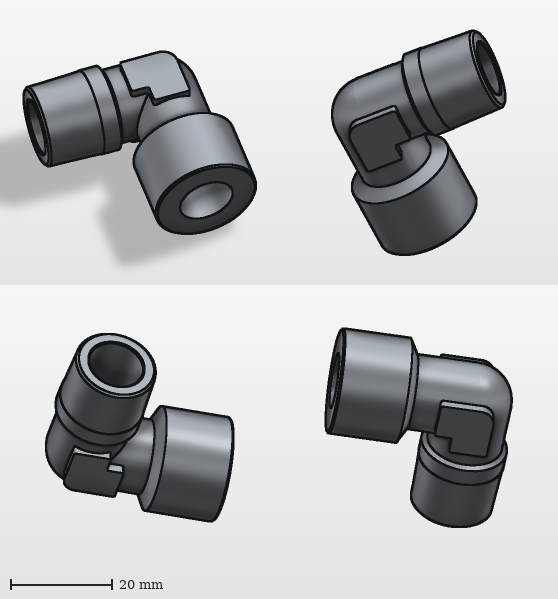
import math

import cadquery as cq

body_radius = 15.0 / 2
bore_radius = 11.0 / 2
shoulder_angle = 30.0

male_length = 26.0
collar_radius = 17.2 / 2
collar_start = 11.1
collar_end = 14.6
thread_root_radius = 8.52
thread_taper = 1.0 / 16
tip_chamfer = 0.5
bore_chamfer = 0.25

female_length = 28.0
socket_radius = 21.0 / 2
shoulder_start = 12.5
rim_chamfer = 0.35

pad_half_width = body_radius / 2
pad_reach = 7.25
pad_height = 8.45
pad_outer_fillet = 3.0
pad_corner_fillet = 0.5


def shoulder_length(outer_radius):
    """Axial length of the cone that widens the body to outer_radius."""
    return (outer_radius - body_radius) * math.tan(math.radians(shoulder_angle))


def make_male_arm():
    thread_tip_radius = thread_root_radius - (male_length - collar_end) * thread_taper / 2
    profile = [
        (0, 0),
        (body_radius, 0),
        (body_radius, -(collar_start - shoulder_length(collar_radius))),
        (collar_radius, -collar_start),
        (collar_radius, -collar_end),
        (thread_root_radius, -collar_end),
        (thread_tip_radius, -(male_length - tip_chamfer)),
        (thread_tip_radius - tip_chamfer, -male_length),
        (0, -male_length),
    ]
    return cq.Workplane("XY").polyline(profile).close().revolve(360, (0, 0, 0), (0, 1, 0))


def make_female_arm():
    profile = [
        (0, 0),
        (0, body_radius),
        (shoulder_start, body_radius),
        (shoulder_start + shoulder_length(socket_radius), socket_radius),
        (female_length - rim_chamfer, socket_radius),
        (female_length, socket_radius - rim_chamfer),
        (female_length, 0),
    ]
    return cq.Workplane("XY").polyline(profile).close().revolve(360, (0, 0, 0), (1, 0, 0))


def round_corner(prism, x, y, radius):
    """Round the upright edge of prism at (x, y)."""
    corner = cq.selectors.NearestToPointSelector((x, y, 0))
    return prism.edges("|Z").edges(corner).fillet(radius)


def make_pads():
    """One L-shaped prism through the corner; its ends stand out as the two pads."""
    outline = [
        (-pad_half_width, pad_half_width),
        (pad_reach, pad_half_width),
        (pad_reach, -pad_half_width),
        (pad_half_width, -pad_half_width),
        (pad_half_width, -pad_reach),
        (-pad_half_width, -pad_reach),
    ]
    prism = cq.Workplane("XY").polyline(outline).close().extrude(pad_height, both=True)
    for x, y in outline[1:]:
        prism = round_corner(prism, x, y, pad_corner_fillet)
    return round_corner(prism, -pad_half_width, pad_half_width, pad_outer_fillet)


def make_bore():
    """Two bores meeting in a ball-shaped corner, with the male mouth chamfered."""
    mouth_radius = bore_radius + bore_chamfer
    male_profile = [
        (0, 0),
        (bore_radius, 0),
        (bore_radius, -(male_length - bore_chamfer)),
        (mouth_radius, -male_length),
        (0, -male_length),
    ]
    male_bore = cq.Workplane("XY").polyline(male_profile).close().revolve(360, (0, 0, 0), (0, 1, 0))
    female_bore = cq.Workplane("YZ").circle(bore_radius).extrude(female_length)
    corner = cq.Workplane("XY").sphere(bore_radius)
    return male_bore.union(female_bore).union(corner)


corner_ball = cq.Workplane("XY").sphere(body_radius)
outside = make_male_arm().union(make_female_arm()).union(corner_ball).union(make_pads())
result = outside.cut(make_bore())